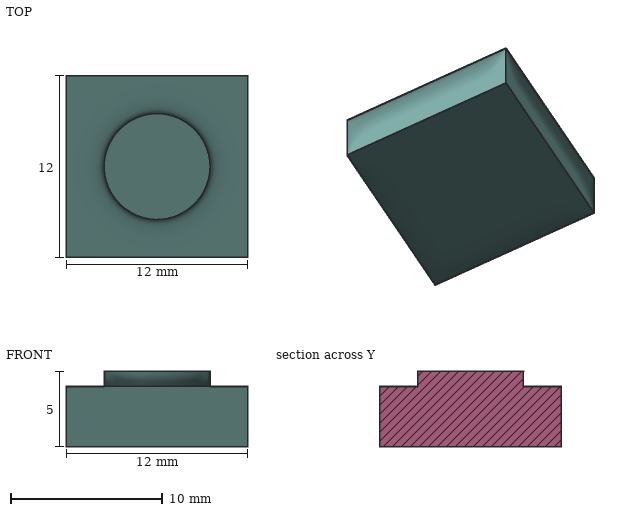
import cadquery as cq

body_side = 12.0
body_height = 4.0

button_diameter = 7.0
button_height = 1.0


def make_body():
    """Square block with its bottom face on Z = 0."""
    return cq.Workplane("XY").rect(body_side, body_side).extrude(body_height)


def add_button(body):
    """Join the round button to the top face of the body."""
    return body.faces(">Z").workplane().circle(button_diameter / 2).extrude(button_height)


result = add_button(make_body())